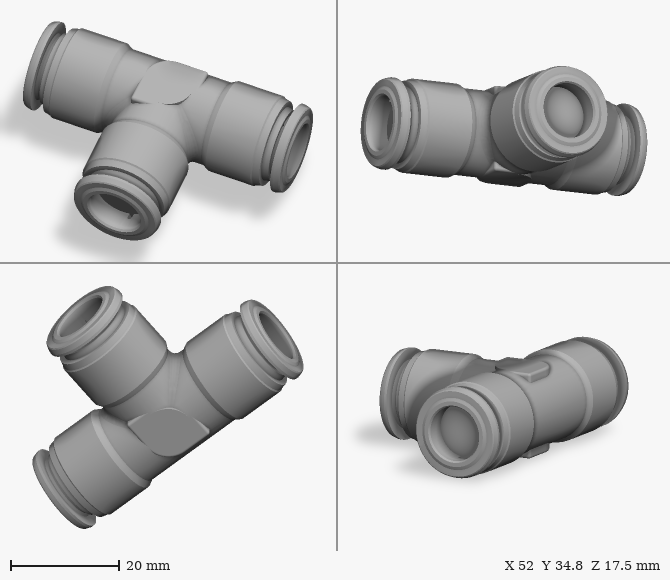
import cadquery as cq
import math

port_reach = 26.0

tube_radius = 8.05
socket_diameter = 17.5
socket_radius = socket_diameter / 2
socket_start = 5.95
socket_end = 14.75
socket_taper_end = 16.0
saddle_fillet = 1.45

outer_step_start = 4.35
outer_step_small_radius = 8.2
outer_step_large_radius = 8.55
outer_step_end = 5.65
inner_step_start = 3.1
inner_step_small_radius = 6.85
inner_step_large_radius = 7.2

neck_radius = 6.05
neck_flare_start = 2.45
neck_flare_radius = 6.5
flange_back = 2.05
flange_edge_start = 1.5
flange_radius = 8.6
flange_front = 0.3
flange_front_radius = 8.05
flange_rim_start = 0.5
flange_rim_radius = 8.25
lip_base_radius = 6.8
lip_top_radius = 6.2

bore_radius = 5.15
bore_mouth_radius = 5.4
bore_mouth_depth = 0.4
bore_depth = 4.25

slot_start = 2.95
slot_width = 0.95
slot_outer_radius = 6.25

ports = [
    (0, -4),
    (180, 20),
    (-90, 20),
]

pad_top = tube_radius
pad_radius = 5.05
pad_corner_reach = 6.1
pad_edge_fillet = 0.5
pad_height = 2 * pad_top
pad_arc_mid = pad_radius * math.sqrt(0.5)

tolerance = 0.0005


def revolve_port(profile):
    """Revolve (depth from mouth, radius) points about X, with the mouth at +X."""
    points = [(port_reach - depth, radius) for depth, radius in profile]
    return cq.Workplane("XY").polyline(points).close().revolve(360, (0, 0, 0), (1, 0, 0))


def port_solid():
    """Sleeve, guide ring and socket of one port, without its bore."""
    return revolve_port([
        (0, 0),
        (0, lip_top_radius),
        (flange_front, lip_base_radius),
        (flange_front, flange_front_radius),
        (flange_rim_start, flange_rim_radius),
        (flange_edge_start, flange_radius),
        (flange_back, flange_radius),
        (flange_back, neck_flare_radius),
        (neck_flare_start, neck_radius),
        (inner_step_start, neck_radius),
        (inner_step_start, inner_step_small_radius),
        (outer_step_start, inner_step_large_radius),
        (outer_step_start, outer_step_small_radius),
        (outer_step_end, outer_step_large_radius),
        (socket_start, socket_radius),
        (socket_end, socket_radius),
        (socket_taper_end, tube_radius),
        (socket_taper_end, 0),
    ])


def port_bore(sleeve_turn):
    """Blind bore with a chamfered mouth and the two sleeve slots."""
    bore = revolve_port([
        (0, 0),
        (0, bore_mouth_radius),
        (bore_mouth_depth, bore_radius),
        (bore_depth, bore_radius),
        (bore_depth, 0),
    ])
    round_center = port_reach - slot_start - slot_width / 2
    slot_floor = port_reach - bore_depth
    slots = (
        cq.Workplane("XY")
        .moveTo(slot_floor, -slot_width / 2)
        .lineTo(round_center, -slot_width / 2)
        .threePointArc((port_reach - slot_start, 0), (round_center, slot_width / 2))
        .lineTo(slot_floor, slot_width / 2)
        .close()
        .extrude(slot_outer_radius, both=True)
    )
    return bore.union(slots.rotate((0, 0, 0), (1, 0, 0), sleeve_turn))


def pad_sketch():
    """Workplane on the underside of the lower pad."""
    return cq.Workplane("XY").workplane(offset=-pad_top)


def filleted_pad():
    """Pad block: a rounded (-X, +Y) quarter between two square corners, outer edges filleted."""
    block = (
        pad_sketch()
        .lineTo(pad_corner_reach, 0)
        .lineTo(pad_corner_reach, pad_radius)
        .lineTo(0, pad_radius)
        .threePointArc((-pad_arc_mid, pad_arc_mid), (-pad_radius, 0))
        .lineTo(-pad_radius, -pad_corner_reach)
        .lineTo(0, -pad_corner_reach)
        .close()
        .extrude(pad_height)
    )
    tip_edges = block.edges("|Z").edges(">(1, 1, 0) or <(1, 1, 0)")
    block = tip_edges.fillet(pad_edge_fillet)
    flat_edges = block.faces("<Z or >Z").edges().vals()
    rounded_edges = [edge for edge in flat_edges if not borders_plain_quarter(edge.Center())]
    return block.newObject(rounded_edges).fillet(pad_edge_fillet)


def borders_plain_quarter(point):
    """True for a point on the +X or -Y axis side of the plain quarter."""
    return point.x > -tolerance and point.y < tolerance


def plain_pad():
    """Sharp-edged quarter disc filling the pad between the run and the branch."""
    return (
        pad_sketch()
        .lineTo(0, -pad_radius)
        .threePointArc((pad_arc_mid, -pad_arc_mid), (pad_radius, 0))
        .close()
        .extrude(pad_height)
    )


def crossing():
    """Run and branch tubes with their pads, blended along the two saddle curves."""
    tube_length = port_reach - socket_end
    run = cq.Workplane("YZ").circle(tube_radius).extrude(tube_length, both=True)
    branch = cq.Workplane("XZ").circle(tube_radius).extrude(tube_length)
    body = run.union(branch).union(plain_pad()).union(filleted_pad())
    return body.edges("%ELLIPSE").fillet(saddle_fillet)


def face_along(port_part, direction):
    """Turn a port part from +X to the given direction about Z."""
    return port_part.rotate((0, 0, 0), (0, 0, 1), direction)


result = crossing()
for direction, _ in ports:
    result = result.union(face_along(port_solid(), direction))
for direction, sleeve_turn in ports:
    result = result.cut(face_along(port_bore(sleeve_turn), direction))